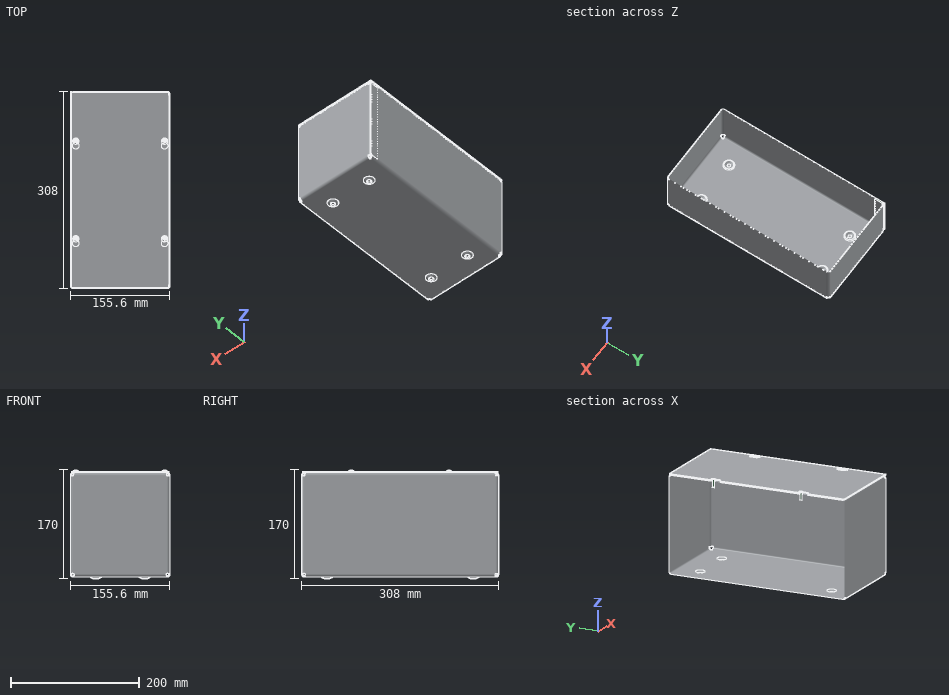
import cadquery as cq

inner_width = 152.4
inner_length = 304.8
sheet = 1.588
body_height = 163.48
width = inner_width + 2 * sheet
length = inner_length + 2 * sheet
bend_out = 3 * sheet
bend_in = bend_out - sheet
relief_diameter = 3.73
relief_offset = 0.8

flange = 16.0
seam_tab = 12.7
seam_gap = sheet
seam_taper = 1.5 * sheet

dome_x = 38.1
dome_y = 114.3
dome_base_diameter = 18.4
dome_tip_diameter = 8.5
dome_height = 2.7

cover_width = inner_width
cover_length = inner_length
entry_diameter = 10.3
entry_offset = 7.1
neck_width = 7.62

screw_x = 69.3
screw_y = 76.2
head_diameter = 9.75
head_height = 2.26
shank_diameter = 4.17
shank_length = 12.7
recess_span = 6.2
recess_width = 0.9
recess_depth = 1.5
recess_angles = {(-1, -1): 25, (1, -1): 0, (-1, 1): 30, (1, 1): -12}

cover_top = body_height + sheet
corners = [(-1, -1), (1, -1), (-1, 1), (1, 1)]
screw_points = [(sx * screw_x, sy * screw_y) for sx, sy in corners]
dome_points = [(sx * dome_x, sy * dome_y) for sx, sy in corners]

straight_x = width - 2 * bend_out
straight_y = length - 2 * bend_out
straight_z = body_height - 2 * bend_out
mid_z = body_height / 2


def block(x0, x1, y0, y1, z0, z1):
    """Box between two opposite corners."""
    return cq.Workplane("XY").box(x1 - x0, y1 - y0, z1 - z0, centered=False).translate((x0, y0, z0))


def bent_ring(plane, size_u, size_v, run):
    """Closed strip of sheet with four bends, centred on the origin and extruded by run."""
    outer = cq.Workplane(plane).rect(size_u, size_v).extrude(run / 2, both=True)
    inner = cq.Workplane(plane).rect(size_u - 2 * sheet, size_v - 2 * sheet).extrude(run / 2, both=True)
    axis = {"XY": "|Z", "XZ": "|Y", "YZ": "|X"}[plane]
    return outer.edges(axis).fillet(bend_out).cut(inner.edges(axis).fillet(bend_in))


def seam():
    """-X wall run straight to the +Y end, with the +Y wall's tab bent along its inside."""
    x0 = -width / 2
    y1 = length / 2
    wall = block(x0, x0 + sheet, y1 - 2 * bend_out, y1, bend_out, body_height - bend_out)
    tab_x = x0 + sheet
    tab = (
        cq.Workplane("XY", origin=(0, 0, bend_out))
        .moveTo(tab_x + 2 * bend_out, y1)
        .lineTo(tab_x + bend_out, y1)
        .radiusArc((tab_x, y1 - bend_out), -bend_out)
        .lineTo(tab_x, y1 - bend_out - seam_tab)
        .lineTo(tab_x + sheet, y1 - bend_out - seam_tab)
        .lineTo(tab_x + sheet, y1 - bend_out)
        .radiusArc((tab_x + bend_out, y1 - sheet), bend_in)
        .lineTo(tab_x + 2 * bend_out, y1 - sheet)
        .close()
        .extrude(straight_z)
    )
    return wall.union(tab)


def seam_bends():
    """Top and bottom bends of the -X wall, continued to a tapered end beside the seam edge."""
    y0 = length / 2 - 2 * bend_out
    y1 = length / 2 - seam_gap
    side = (
        cq.Workplane("YZ", origin=(-width / 2, 0, 0))
        .polyline([
            (y0, 0),
            (y1 - seam_taper, 0),
            (y1, bend_out),
            (y1, body_height - bend_out),
            (y1 - seam_taper, body_height),
            (y0, body_height),
        ])
        .close()
        .extrude(bend_out)
    )
    return bent_ring("XZ", width, body_height, length).translate((0, 0, mid_z)).intersect(side)


def corner_reliefs():
    """Holes at the bend crossings: through the top and bottom, and through the low wall corners."""
    radius = relief_diameter / 2
    x = straight_x / 2 + relief_offset
    y = straight_y / 2 + relief_offset
    z = bend_out - relief_offset
    plan_points = [(sx * x, sy * y) for sx, sy in corners]
    front_points = [(-x, z), (x, z)]
    side_points = [(-y, z), (y, z)]
    plan = cq.Workplane("XY").pushPoints(plan_points).circle(radius).extrude(body_height)
    front = cq.Workplane("XZ").pushPoints(front_points).circle(radius).extrude(length, both=True)
    side = cq.Workplane("YZ").pushPoints(side_points).circle(radius).extrude(width, both=True)
    wall_band = block(-width, width, -length, length, bend_out, body_height - bend_out)
    return plan.cut(wall_band).union(front).union(side)


def dome(base_radius, tip_radius, base_z):
    """Cone frustum hanging down from base_z."""
    return (
        cq.Workplane("XY", origin=(0, 0, base_z))
        .circle(base_radius)
        .workplane(offset=-dome_height)
        .circle(tip_radius)
        .loft(ruled=True)
    )


def make_body():
    along_y = bent_ring("XZ", width, body_height, straight_y).translate((0, 0, mid_z))
    along_x = bent_ring("YZ", length, body_height, straight_x).translate((0, 0, mid_z))
    along_z = bent_ring("XY", width, length, straight_z).translate((0, 0, mid_z))
    seam_corner = block(
        -width / 2, -width / 2 + bend_out + sheet,
        length / 2 - bend_out, length / 2,
        0, body_height,
    )
    opening = block(
        flange - width / 2, width / 2 - flange,
        flange - length / 2, length / 2 - flange,
        body_height - sheet, body_height,
    )
    body = along_y.union(along_x).union(along_z).cut(seam_corner).cut(opening)
    body = body.cut(corner_reliefs()).union(seam_bends()).union(seam())
    outside = dome(dome_base_diameter / 2, dome_tip_diameter / 2, 0)
    inside = dome(dome_base_diameter / 2 - sheet, dome_tip_diameter / 2 - sheet, sheet)
    for x, y in dome_points:
        body = body.union(outside.translate((x, y, 0))).cut(inside.translate((x, y, 0)))
    holes = cq.Workplane("XY", origin=(0, 0, body_height - sheet)).pushPoints(screw_points)
    return body.cut(holes.circle(shank_diameter / 2).extrude(sheet))


def make_cover():
    cover = cq.Workplane("XY", origin=(0, 0, body_height)).rect(cover_width, cover_length).extrude(sheet)
    for x, y in screw_points:
        entry_y = y - entry_offset
        plane = cq.Workplane("XY", origin=(x, 0, body_height))
        entry = plane.center(0, entry_y).circle(entry_diameter / 2).extrude(sheet)
        neck_end = plane.center(0, y).circle(neck_width / 2).extrude(sheet)
        neck = plane.center(0, (y + entry_y) / 2).rect(neck_width, entry_offset).extrude(sheet)
        cover = cover.cut(entry).cut(neck_end).cut(neck)
    return cover


def make_screw(angle):
    """Screw with a domed cross-recess head, seated at z = 0."""
    radius = head_diameter / 2
    sphere_radius = (radius ** 2 + head_height ** 2) / (2 * head_height)
    profile = (
        cq.Workplane("XZ")
        .lineTo(radius, 0)
        .radiusArc((0, head_height), -sphere_radius)
        .close()
    )
    head = profile.revolve(360, (0, 0, 0), (0, 1, 0))
    shank = cq.Workplane("XY").circle(shank_diameter / 2).extrude(-shank_length)
    recess = cq.Workplane("XY", origin=(0, 0, head_height - recess_depth))
    arm = recess.rect(recess_span, recess_width).extrude(recess_depth)
    cross_arm = recess.rect(recess_width, recess_span).extrude(recess_depth)
    return head.union(shank).cut(arm).cut(cross_arm).rotate((0, 0, 0), (0, 0, 1), angle)


body = make_body()
cover = make_cover()
screws = [
    make_screw(recess_angles[corner]).translate((x, y, cover_top))
    for corner, (x, y) in zip(corners, screw_points)
]

result = cq.Compound.makeCompound([body.val(), cover.val(), *[screw.val() for screw in screws]])